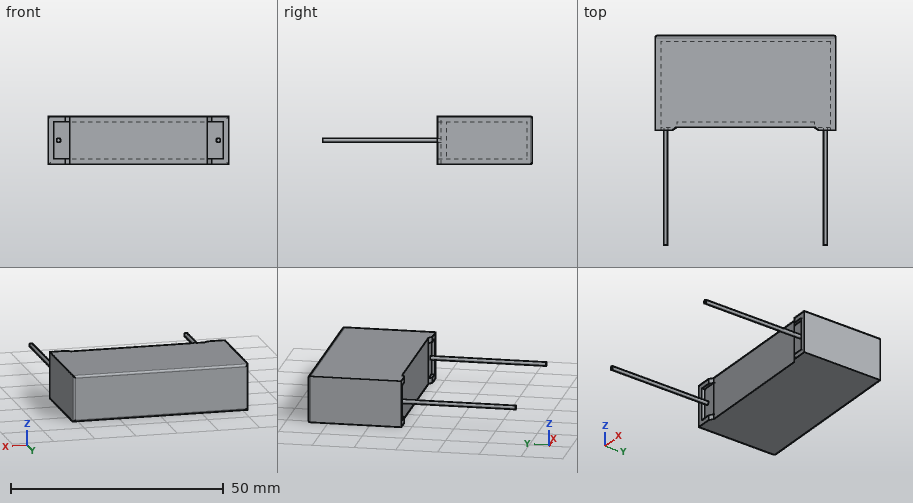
import cadquery as cq

total_length = 49.3
housing_width = 42.5
housing_depth = 22.35
housing_height = 11.3
rear_fillet = 0.55

recess_depth = 0.75
recess_floor_width = 32.3
recess_mouth_width = 34.5

wall = 1.35

lead_diameter = 1.0
lead_pitch = 37.55

floor_y = recess_depth
bridge_back_y = floor_y + wall
cavity_back_y = housing_depth - wall
cavity_width = housing_width - 2 * wall
cavity_height = housing_height - 2 * wall
lead_tip_y = housing_depth - total_length


def block(width, height, y_start, y_end):
    """Box centred on X and Z, between two Y positions."""
    depth = y_end - y_start
    return cq.Workplane("XY").box(width, depth, height).translate((0, y_start + depth / 2, 0))


def make_resin():
    """Potting that fills the cavity and shows in a window at each foot."""
    fill = block(cavity_width, cavity_height, floor_y, cavity_back_y)
    bridge = block(recess_floor_width, cavity_height, floor_y, bridge_back_y)
    return fill.cut(bridge)


def make_housing(resin):
    """Case with rounded rear edges, a seating recess and a resin-filled cavity."""
    case = block(housing_width, housing_height, 0, housing_depth)
    case = case.faces(">Y").edges().fillet(rear_fillet)

    recess = (
        cq.Workplane("XY")
        .polyline([
            (-recess_mouth_width / 2, 0),
            (-recess_floor_width / 2, floor_y),
            (recess_floor_width / 2, floor_y),
            (recess_mouth_width / 2, 0),
        ])
        .close()
        .extrude(housing_height / 2, both=True)
    )
    windows = block(cavity_width, cavity_height, 0, floor_y)
    return case.cut(recess).cut(windows).cut(resin)


def make_lead(x):
    """Round wire from the resin surface out to its free tip."""
    return (
        cq.Workplane("XZ", origin=(x, floor_y, 0))
        .circle(lead_diameter / 2)
        .extrude(floor_y - lead_tip_y)
    )


resin = make_resin()
housing = make_housing(resin)
leads = [make_lead(side * lead_pitch / 2) for side in (-1, 1)]

result = cq.Compound.makeCompound([
    housing.val(),
    resin.val(),
    *[lead.val() for lead in leads],
])